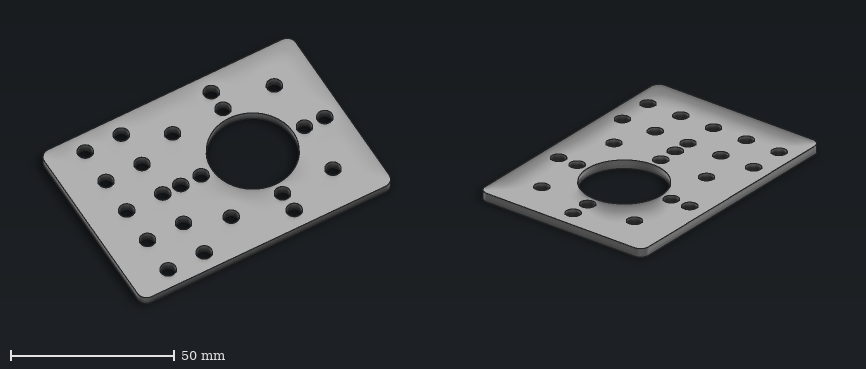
import cadquery as cq

length = 88.9
width = 63.5
thickness = 3.0
corner_radius = 3.2

pitch = 12.7
hole_diameter = 5.0
bore_diameter = 28.45
bore_y = pitch
inner_cross_radius = 18.2
outer_cross_radius = 2 * pitch
square_half_spacing = 18.0
lower_row_y = -2.5 * pitch
upper_row_y = lower_row_y + pitch
columns_each_side = 2


def cross_points(radius):
    """Four points on the X and Y axes through the bore centre."""
    return [
        (radius, bore_y),
        (-radius, bore_y),
        (0, bore_y + radius),
        (0, bore_y - radius),
    ]


def square_points(half_spacing):
    """Four corners of a square around the bore centre."""
    return [(sx * half_spacing, bore_y + sy * half_spacing) for sx in (-1, 1) for sy in (-1, 1)]


def grid_points():
    """Two rows of evenly spaced holes at the -Y end."""
    columns = range(-columns_each_side, columns_each_side + 1)
    return [(column * pitch, y) for column in columns for y in (lower_row_y, upper_row_y)]


plate = (
    cq.Workplane("XY")
    .rect(width, length)
    .extrude(thickness)
    .edges("|Z")
    .fillet(corner_radius)
)

small_holes = (
    cross_points(inner_cross_radius)
    + cross_points(outer_cross_radius)
    + square_points(square_half_spacing)
    + grid_points()
)

result = (
    plate.faces(">Z")
    .workplane(origin=(0, 0, thickness))
    .pushPoints(small_holes)
    .hole(hole_diameter)
    .faces(">Z")
    .workplane(origin=(0, 0, thickness))
    .center(0, bore_y)
    .hole(bore_diameter)
)